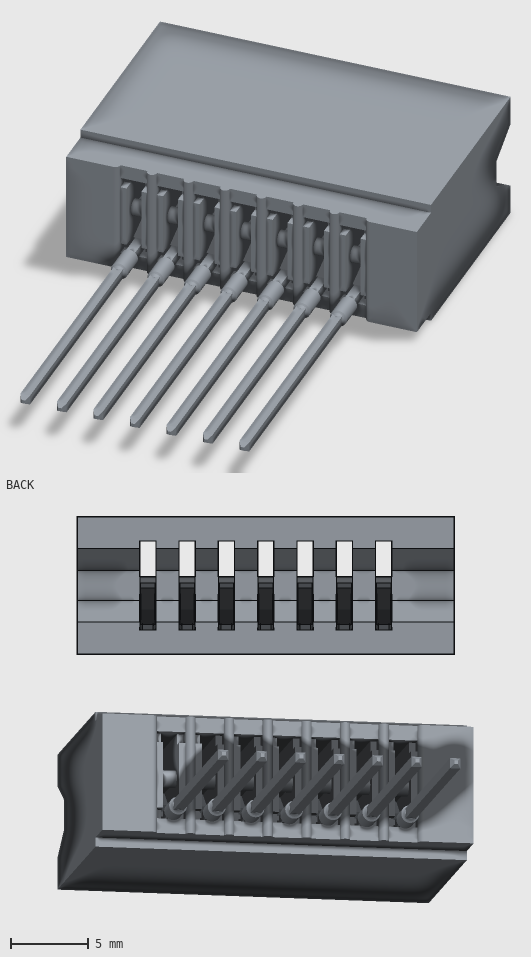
import cadquery as cq


total_length = 35.45
housing_width = 24.4
housing_height = 8.9
housing_length = 16.4
pin_reach = total_length - housing_length

contact_count = 7
contact_row_span = 15.25
pitch = contact_row_span / (contact_count - 1)
contact_x = [(i - (contact_count - 1) / 2) * pitch for i in range(contact_count)]

nose_length = 2.48
nose_step = 0.6
entry_depth = 2.48
entry_mouth_height = 4.75
entry_floor_height = 1.9

relief_depth = 0.35
relief_floor_width = 1.88

passage_width = 1.03
passage_height = 5.75
channel_height = 0.7
channel_depth = 0.7

pin_side = 0.67
pin_tip_side = 0.25
pin_tip_length = 0.35
pin_z = -passage_height / 2 + pin_side / 2

collar_diameter = 1.17
collar_shoulder_diameter = 0.95
collar_end_diameter = 0.7
collar_cone_length = 0.2
collar_chamfer_length = 0.1
collar_length = 2.45
collar_gap = 0.1

leaf_width = 0.92
leaf_thickness = 0.32
leaf_start_y = 1.42
leaf_bend_y = 3.9
leaf_bend_z = -1.25
leaf_fold_y = 5.67
bead_radius = 0.55
bead_y = 1.63


def side_extrusion(points, width):
    """Extrude an outline of (y, z) points symmetrically along X."""
    return cq.Workplane("YZ").polyline(points).close().extrude(width / 2, both=True)


def make_housing_block():
    half_height = housing_height / 2
    half_nose = half_height - nose_step
    entry_floor_y = housing_length - entry_depth
    points = [
        (0, -half_nose),
        (nose_length, -half_nose),
        (nose_length, -half_height),
        (housing_length, -half_height),
        (housing_length, -entry_mouth_height / 2),
        (entry_floor_y, -entry_floor_height / 2),
        (entry_floor_y, entry_floor_height / 2),
        (housing_length, entry_mouth_height / 2),
        (housing_length, half_height),
        (nose_length, half_height),
        (nose_length, half_nose),
        (0, half_nose),
    ]
    return side_extrusion(points, housing_width)


def make_relief():
    """Relief with side walls that round over, by a quarter circle, into the nose face."""
    half_floor = relief_floor_width / 2
    half_mouth = half_floor + relief_depth
    arc_bulge = relief_depth * 0.5**0.5
    return (
        cq.Workplane("XY")
        .moveTo(-half_mouth, 0)
        .threePointArc((-half_mouth + arc_bulge, relief_depth - arc_bulge), (-half_floor, relief_depth))
        .lineTo(half_floor, relief_depth)
        .threePointArc((half_mouth - arc_bulge, relief_depth - arc_bulge), (half_mouth, 0))
        .close()
        .extrude(housing_height / 2, both=True)
    )


def make_contact_cavity():
    """Everything cut from the housing for one contact centred on X = 0."""
    cavity = make_relief()
    passage = cq.Workplane("XY").box(passage_width, housing_length, passage_height, centered=(True, False, True))
    cavity = cavity.union(passage)
    channel_z = (passage_height - channel_height) / 2
    for z in (-channel_z, channel_z):
        channel = cq.Workplane("XY").box(
            relief_floor_width, relief_depth + channel_depth, channel_height, centered=(True, False, True)
        )
        cavity = cavity.union(channel.translate((0, 0, z)))
    return cavity


def make_housing():
    housing = make_housing_block()
    cavity = make_contact_cavity()
    for x in contact_x:
        housing = housing.cut(cavity.translate((x, 0, 0)))
    return housing


def make_pin():
    tip_y = -pin_reach
    shaft_y = tip_y + pin_tip_length
    shaft = (
        cq.Workplane("XZ", origin=(0, leaf_start_y, pin_z))
        .rect(pin_side, pin_side)
        .extrude(leaf_start_y - shaft_y)
    )
    tip = (
        cq.Workplane("XZ", origin=(0, shaft_y, pin_z))
        .rect(pin_side, pin_side)
        .workplane(offset=pin_tip_length)
        .rect(pin_tip_side, pin_tip_side)
        .loft(ruled=True)
    )
    return shaft.union(tip)


def make_collar():
    """Solid of revolution about the pin axis, the same at both ends."""
    half_length = collar_length / 2
    shoulder_y = half_length - collar_cone_length
    full_y = shoulder_y - collar_chamfer_length
    end_radius = collar_end_diameter / 2
    shoulder_radius = collar_shoulder_diameter / 2
    radius = collar_diameter / 2
    points = [
        (-half_length, 0),
        (-half_length, end_radius),
        (-shoulder_y, shoulder_radius),
        (-full_y, radius),
        (full_y, radius),
        (shoulder_y, shoulder_radius),
        (half_length, end_radius),
        (half_length, 0),
    ]
    return (
        cq.Workplane("YZ", origin=(0, -collar_gap - half_length, pin_z))
        .polyline(points)
        .close()
        .revolve(360, (0, 0), (1, 0))
    )


def make_spring():
    """Leaf, fold and bead; the returning arm is centred on the bead."""
    start_z = pin_z + pin_side / 2
    arm_z = leaf_thickness / 2
    leaf = side_extrusion(
        [
            (leaf_start_y, start_z),
            (leaf_bend_y, leaf_bend_z),
            (leaf_fold_y - leaf_thickness, -arm_z),
            (bead_y, -arm_z),
            (bead_y, arm_z),
            (leaf_fold_y, arm_z),
            (leaf_fold_y, -arm_z),
            (leaf_bend_y, leaf_bend_z - leaf_thickness),
            (leaf_start_y, start_z - leaf_thickness),
        ],
        leaf_width,
    )
    bead = cq.Workplane("YZ").center(bead_y, 0).circle(bead_radius).extrude(passage_width / 2, both=True)
    return leaf.union(bead)


def make_contact():
    return make_pin().union(make_collar()).union(make_spring())


housing = make_housing()
contact = make_contact()
contacts = [contact.translate((x, 0, 0)) for x in contact_x]

result = cq.Compound.makeCompound([housing.val(), *[c.val() for c in contacts]])